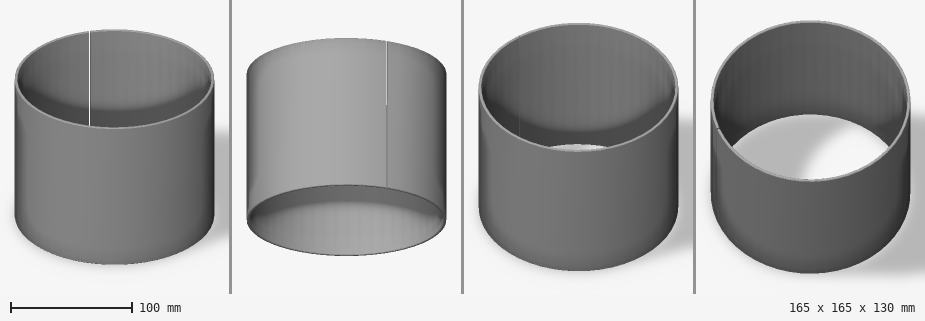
import cadquery as cq

outer_diameter = 165.0
wall = 2.5
height = 130.0
slit_angle = 1.0
rim_edge = 0.5

outer_radius = outer_diameter / 2
inner_radius = outer_radius - wall


def split_sleeve():
    """Wall section on the -X side, revolved to leave a narrow slit just on the +Y side of it."""
    section = (
        cq.Workplane("XZ")
        .moveTo(-outer_radius, 0)
        .lineTo(-inner_radius, 0)
        .lineTo(-inner_radius, height)
        .lineTo(-outer_radius, height)
        .close()
    )
    return section.revolve(360 - slit_angle, (0, 0, 0), (0, 1, 0))


def break_rims(sleeve):
    """Break the inner and outer edges of both rims."""
    return sleeve.edges("%CIRCLE").chamfer(rim_edge)


result = break_rims(split_sleeve())